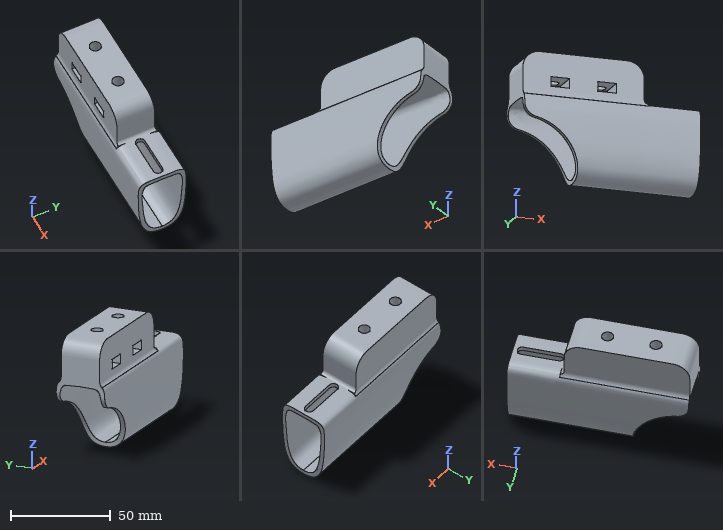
import cadquery as cq
import math

LENGTH = 94.0
WIDTH = 27.08
HEIGHT = 64.68

SLEEVE_TOP = 42.9
WALL = 2.4
FLAT_HALF_WIDTH = 7.2
SHOULDER_START = (10.7, 42.3)
SHOULDER_BEND = (8.97, 42.75)
SHOULDER_DIRECTION = (0.87, -0.5)
UPPER_SIDE_POINTS = [(11.95, 41.5), (13.45, 37.0)]
WIDEST_POINT = (WIDTH / 2, 32.5)
KEEL_POINTS = [(13.0, 18.5), (12.05, 11.4), (10.45, 6.3), (7.2, 2.0)]
CAVITY_POINTS = [
    (5.2, 40.3),
    (9.5, 39.5),
    (11.0, 36.5),
    (11.25, 28.0),
    (10.3, 16.5),
    (8.5, 8.8),
    (5.7, 4.4),
]

BLOCK_LENGTH = 64.9
BLOCK_WIDTH = 21.4
BLOCK_CORNER_RADIUS = 9.0

SKIRT_TOP = 44.5
SKIRT_SIDE_BOTTOM = 41.5
SKIRT_SIDE_SPREAD = 1.35
SKIRT_REAR_RADIUS = 2.0

CUTAWAY_RADIUS = 30.0
TIP_RADIUS = 7.0
CUT_OVERRUN = 1.0

BOLT_POSITIONS = (20.0, 45.0)
BOLT_DIAMETER = 6.0
NUT_ACROSS_FLATS = 9.9
NUT_SLOT_BOTTOM = 46.9
NUT_SLOT_HEIGHT = 5.1

SLOT_START = 67.4
SLOT_LENGTH = 24.2
SLOT_WIDTH = 5.0


def sleeve_body():
    """Sleeve before it is hollowed out."""
    tangents = [SHOULDER_DIRECTION]
    tangents += [None] * len(UPPER_SIDE_POINTS)
    tangents += [(0, -1)]
    tangents += [None] * len(KEEL_POINTS)
    tangents += [(-1, 0)]
    return (
        cq.Workplane("YZ")
        .moveTo(0, SLEEVE_TOP)
        .lineTo(FLAT_HALF_WIDTH, SLEEVE_TOP)
        .threePointArc(SHOULDER_BEND, SHOULDER_START)
        .spline(
            UPPER_SIDE_POINTS + [WIDEST_POINT] + KEEL_POINTS + [(0, 0)],
            tangents=tangents,
            scale=False,
            includeCurrent=True,
        )
        .mirrorY()
        .extrude(LENGTH)
    )


def block_with_skirt():
    """Block and its skirt: the end outline and the side outline intersected."""
    base_z = SLEEVE_TOP - WALL
    half_width = BLOCK_WIDTH / 2
    skirt_half_width = half_width + SKIRT_SIDE_SPREAD
    skirt_drop = SKIRT_TOP - SKIRT_SIDE_BOTTOM

    arc_radius = (skirt_drop**2 + SKIRT_SIDE_SPREAD**2) / (2 * SKIRT_SIDE_SPREAD)
    half_angle = math.asin(skirt_drop / arc_radius) / 2
    arc_y = half_width + arc_radius * (1 - math.cos(half_angle))
    arc_z = SKIRT_TOP - arc_radius * math.sin(half_angle)
    end_outline = (
        cq.Workplane("YZ")
        .moveTo(-half_width, HEIGHT)
        .lineTo(half_width, HEIGHT)
        .lineTo(half_width, SKIRT_TOP)
        .threePointArc((arc_y, arc_z), (skirt_half_width, SKIRT_SIDE_BOTTOM))
        .lineTo(half_width, base_z)
        .lineTo(-half_width, base_z)
        .lineTo(-skirt_half_width, SKIRT_SIDE_BOTTOM)
        .threePointArc((-arc_y, arc_z), (-half_width, SKIRT_TOP))
        .close()
        .extrude(LENGTH)
    )

    skirt_end = BLOCK_LENGTH + SKIRT_REAR_RADIUS
    side_outline = (
        cq.Workplane("XZ")
        .moveTo(0, base_z)
        .lineTo(0, HEIGHT - BLOCK_CORNER_RADIUS)
        .radiusArc((BLOCK_CORNER_RADIUS, HEIGHT), BLOCK_CORNER_RADIUS)
        .lineTo(BLOCK_LENGTH - BLOCK_CORNER_RADIUS, HEIGHT)
        .radiusArc((BLOCK_LENGTH, HEIGHT - BLOCK_CORNER_RADIUS), BLOCK_CORNER_RADIUS)
        .lineTo(BLOCK_LENGTH, SLEEVE_TOP + SKIRT_REAR_RADIUS)
        .radiusArc((skirt_end, SLEEVE_TOP), -SKIRT_REAR_RADIUS)
        .lineTo(skirt_end, base_z)
        .close()
        .extrude(WIDTH / 2, both=True)
    )
    return end_outline.intersect(side_outline)


def cavity():
    """Inside of the sleeve, open at both ends."""
    return (
        cq.Workplane("YZ")
        .moveTo(0, SLEEVE_TOP - WALL)
        .spline(
            CAVITY_POINTS + [(0, WALL)],
            tangents=[(1, 0), (-1, 0)],
            scale=False,
            includeCurrent=True,
        )
        .mirrorY()
        .extrude(LENGTH)
    )


def front_cutaway():
    """Round cut-away whose upper end curls into the front face with a tip radius."""
    tip_center_z = math.sqrt((CUTAWAY_RADIUS + TIP_RADIUS) ** 2 - TIP_RADIUS**2)
    contact_scale = CUTAWAY_RADIUS / (CUTAWAY_RADIUS + TIP_RADIUS)
    contact = (TIP_RADIUS * contact_scale, tip_center_z * contact_scale)
    return (
        cq.Workplane("XZ")
        .moveTo(0, -CUT_OVERRUN)
        .lineTo(CUTAWAY_RADIUS, -CUT_OVERRUN)
        .lineTo(CUTAWAY_RADIUS, 0)
        .radiusArc(contact, -CUTAWAY_RADIUS)
        .radiusArc((0, tip_center_z), TIP_RADIUS)
        .close()
        .extrude(WIDTH, both=True)
    )


def bolt_cut(x):
    """Bolt hole from the top down to the floor of a nut slot open to -Y."""
    half_flats = NUT_ACROSS_FLATS / 2
    corner_y = NUT_ACROSS_FLATS / math.sqrt(3)
    nut_slot = (
        cq.Workplane("XY", origin=(x, 0, NUT_SLOT_BOTTOM))
        .moveTo(-half_flats, -WIDTH / 2)
        .lineTo(half_flats, -WIDTH / 2)
        .lineTo(half_flats, corner_y / 2)
        .lineTo(0, corner_y)
        .lineTo(-half_flats, corner_y / 2)
        .close()
        .extrude(NUT_SLOT_HEIGHT)
    )
    hole = (
        cq.Workplane("XY", origin=(x, 0, NUT_SLOT_BOTTOM))
        .circle(BOLT_DIAMETER / 2)
        .extrude(HEIGHT - NUT_SLOT_BOTTOM)
    )
    return nut_slot.union(hole)


def top_slot():
    """Round-ended slot through the top wall of the sleeve."""
    middle_x = SLOT_START + SLOT_LENGTH / 2
    return (
        cq.Workplane("XY", origin=(middle_x, 0, SLEEVE_TOP))
        .slot2D(SLOT_LENGTH, SLOT_WIDTH)
        .extrude(-2 * WALL)
    )


result = sleeve_body().union(block_with_skirt())
result = result.cut(cavity()).cut(front_cutaway()).cut(top_slot())
for bolt_x in BOLT_POSITIONS:
    result = result.cut(bolt_cut(bolt_x))